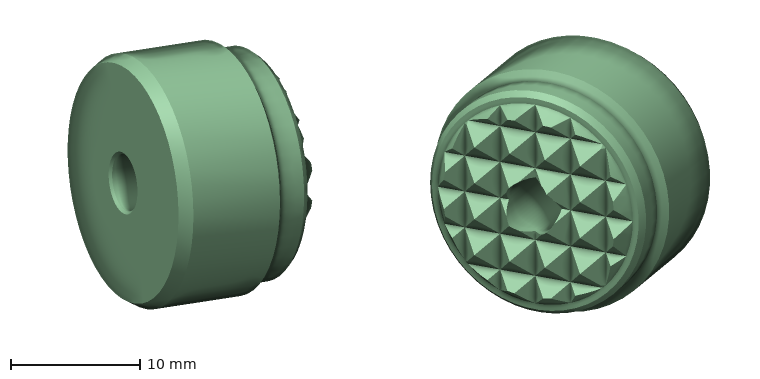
import cadquery as cq
import math

HOUSING_RADIUS = 10.0
HOUSING_LENGTH = 9.0
FRONT_CHAMFER_LENGTH = 1.0
FRONT_CHAMFER_ANGLE = 30.0
FRONT_CHAMFER_WIDTH = FRONT_CHAMFER_LENGTH * math.tan(math.radians(FRONT_CHAMFER_ANGLE))
SHOULDER_CHAMFER_LENGTH = 0.5

GRIPPER_RADIUS = 9.2
RIM_CHAMFER_LENGTH = 0.5
RIM_CHAMFER_WIDTH = 0.4

TOOTH_ROOT = 11.5
TOOTH_PITCH = 3.0
TOOTH_HEIGHT = TOOTH_PITCH / 2
TOOTH_TIP = TOOTH_ROOT + TOOTH_HEIGHT
FIELD_ROOT_RADIUS = 8.3
FIELD_TIP_RADIUS = 7.1
GROOVES_PER_SIDE = 2

HOLE_RADIUS = 4.5 / 2
HOLE_CHAMFER = 0.2


def turned(profile):
    """Solid of revolution about the Y axis from (radius, y) points."""
    return cq.Workplane("XY").polyline(profile).close().revolve(360, (0, 0), (0, 1))


def make_housing():
    """Round housing with a front chamfer, a sloped shoulder and the through hole."""
    return turned([
        (HOLE_RADIUS + HOLE_CHAMFER, 0),
        (HOUSING_RADIUS - FRONT_CHAMFER_WIDTH, 0),
        (HOUSING_RADIUS, FRONT_CHAMFER_LENGTH),
        (HOUSING_RADIUS, HOUSING_LENGTH - SHOULDER_CHAMFER_LENGTH),
        (GRIPPER_RADIUS, HOUSING_LENGTH),
        (HOLE_RADIUS, HOUSING_LENGTH),
        (HOLE_RADIUS, HOLE_CHAMFER),
    ])


def make_gripper_blank():
    """Gripper disc with its tapered tooth field before the grooves are cut."""
    return turned([
        (HOLE_RADIUS, HOUSING_LENGTH),
        (GRIPPER_RADIUS, HOUSING_LENGTH),
        (GRIPPER_RADIUS, TOOTH_ROOT - RIM_CHAMFER_LENGTH),
        (GRIPPER_RADIUS - RIM_CHAMFER_WIDTH, TOOTH_ROOT),
        (FIELD_ROOT_RADIUS, TOOTH_ROOT),
        (FIELD_TIP_RADIUS, TOOTH_TIP),
        (HOLE_RADIUS, TOOTH_TIP),
    ])


def make_groove(offset):
    """V-shaped cutter along Z, with its bottom edge at the tooth root on X = offset."""
    return (
        cq.Workplane("XY")
        .polyline([
            (offset, TOOTH_ROOT),
            (offset + TOOTH_HEIGHT, TOOTH_TIP),
            (offset - TOOTH_HEIGHT, TOOTH_TIP),
        ])
        .close()
        .extrude(GRIPPER_RADIUS, both=True)
    )


def make_gripper():
    """Gripper disc with two crossing sets of grooves that leave pyramid teeth."""
    gripper = make_gripper_blank()
    for index in range(-GROOVES_PER_SIDE, GROOVES_PER_SIDE + 1):
        groove = make_groove(index * TOOTH_PITCH)
        crossing_groove = groove.rotate((0, 0, 0), (0, 1, 0), 90)
        gripper = gripper.cut(groove).cut(crossing_groove)
    return gripper


housing = make_housing()
gripper = make_gripper()

result = cq.Compound.makeCompound([housing.solids().val(), gripper.solids().val()])